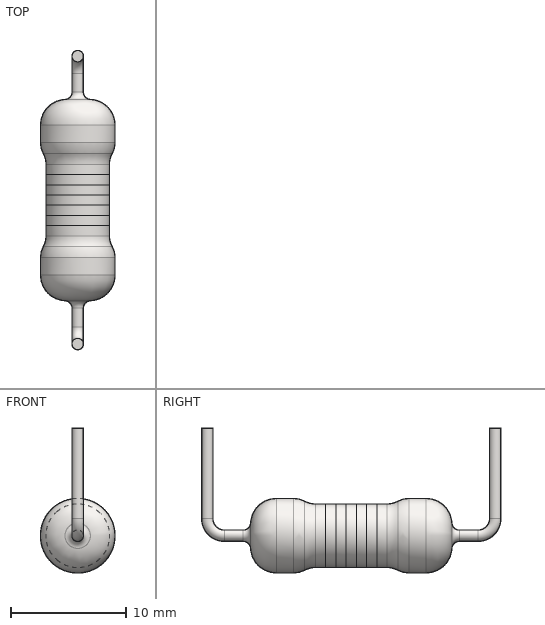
import cadquery as cq
import math


lead_diameter = 1.0
overall_length = 26.0
overall_height = 12.6
bend_radius = 1.5

cap_diameter = 6.5
waist_diameter = 5.53
band_diameter = 5.54
body_length = 17.5
cap_land_length = 1.5
dome_radius = 2.25
lead_fillet_radius = 0.63
waist_length = 6.2
waist_section_count = 7

lead_radius = lead_diameter / 2
cap_radius = cap_diameter / 2
waist_radius = waist_diameter / 2
body_end = body_length / 2
waist_end = waist_length / 2
cap_outer = body_end - dome_radius
cap_inner = cap_outer - cap_land_length
lead_y = overall_length / 2 - lead_radius
lead_top = overall_height - cap_radius
band_width = waist_length / waist_section_count


def make_body():
    """Turn the dog-bone body, including the meniscus around each lead."""
    dome_start_radius = cap_radius - dome_radius
    dome_mid = dome_radius * math.sqrt(0.5)
    meniscus_centre_radius = lead_radius + lead_fillet_radius
    centre_distance = dome_radius + lead_fillet_radius
    tilt = math.asin((meniscus_centre_radius - dome_start_radius) / centre_distance)
    meniscus_centre = cap_outer + centre_distance * math.cos(tilt)
    meniscus_foot = (
        dome_start_radius + dome_radius * math.sin(tilt),
        cap_outer + dome_radius * math.cos(tilt),
    )
    mid_angle = (math.pi / 2 - tilt) / 2
    meniscus_mid = (
        meniscus_centre_radius - lead_fillet_radius * math.cos(mid_angle),
        meniscus_centre - lead_fillet_radius * math.sin(mid_angle),
    )
    dome_mid_point = (dome_start_radius + dome_mid, cap_outer + dome_mid)
    shoulder_mid = ((waist_radius + cap_radius) / 2, (waist_end + cap_inner) / 2)

    half_body = (
        cq.Workplane("XY")
        .lineTo(waist_radius, 0)
        .lineTo(waist_radius, waist_end)
        .tangentArcPoint(shoulder_mid, relative=False)
        .tangentArcPoint((cap_radius, cap_inner), relative=False)
        .lineTo(cap_radius, cap_outer)
        .threePointArc(dome_mid_point, meniscus_foot)
        .threePointArc(meniscus_mid, (lead_radius, meniscus_centre))
        .lineTo(0, meniscus_centre)
        .close()
        .revolve(360, (0, 0, 0), (0, 1, 0))
    )
    return half_body.union(half_body.mirror("XZ"))


def make_band(section):
    """Colour band standing just proud of the given section of the waist."""
    start = -waist_end + section * band_width
    return (
        cq.Workplane("XZ", origin=(0, start, 0))
        .circle(band_diameter / 2)
        .extrude(-band_width)
    )


def make_lead():
    """Wire on the +Y side, from the middle of the body out and up to its tip."""
    bend_start = lead_y - bend_radius
    bend_mid = bend_radius * math.sqrt(0.5)
    path = (
        cq.Workplane("YZ")
        .lineTo(bend_start, 0)
        .threePointArc((bend_start + bend_mid, bend_radius - bend_mid), (lead_y, bend_radius))
        .lineTo(lead_y, lead_top)
    )
    return cq.Workplane("XZ").circle(lead_radius).sweep(path)


result = make_body()
for section in range(1, waist_section_count, 2):
    result = result.union(make_band(section))

lead = make_lead()
result = result.union(lead).union(lead.mirror("XZ"))